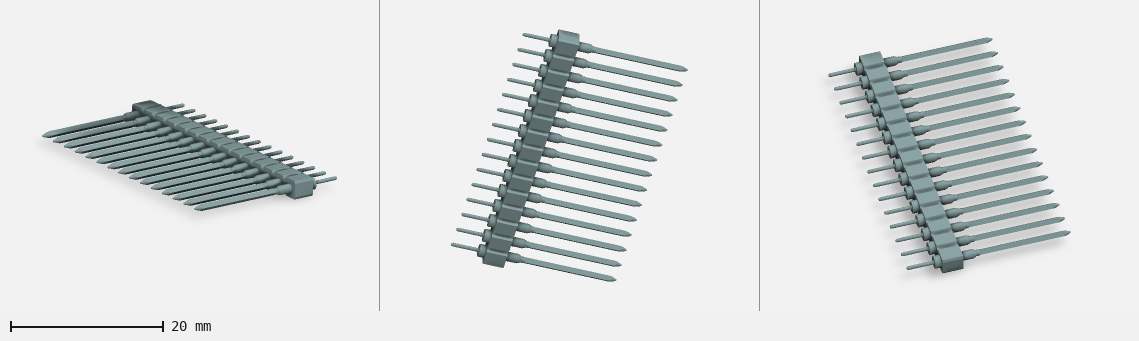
import cadquery as cq
import math

PIN_COUNT = 15
STRIP_LENGTH = 38.1
STRIP_HEIGHT = 2.55
PITCH = STRIP_LENGTH / PIN_COUNT
OVERALL_DEPTH = 22.35

HOUSING_DEPTH = 2.82
EDGE_DROP = 0.35
EDGE_RUN = 0.2
NOTCH_FLOOR = 0.4

COLLAR_LENGTH = 0.85
COLLAR_CONE_LENGTH = 0.25
TAIL_REACH = 4.55
TAIL_CHAMFER_LENGTH = 0.23

BARREL_LENGTH = 1.65
BARREL_TAPER_LENGTH = 0.35
NECK_LENGTH = 0.55
TIP_LENGTH = 1.05

TAIL_END_DIAMETER = 0.35
TAIL_DIAMETER = 0.5
COLLAR_CONE_DIAMETER = 0.7
COLLAR_DIAMETER = 1.7
BARREL_DIAMETER = 1.25
BARREL_END_DIAMETER = 1.0
NECK_DIAMETER = 0.85
TIP_END_DIAMETER = 0.23

POST_SIDE = 0.7
PIN_TURN = 45

REAR_END = OVERALL_DEPTH / 2
FRONT_END = -OVERALL_DEPTH / 2
HOUSING_REAR = REAR_END - TAIL_REACH
HOUSING_FRONT = HOUSING_REAR - HOUSING_DEPTH
BARREL_FRONT = HOUSING_FRONT - BARREL_LENGTH
TAPER_FRONT = BARREL_FRONT - BARREL_TAPER_LENGTH
POST_REAR = TAPER_FRONT - NECK_LENGTH
POST_FRONT = FRONT_END + TIP_LENGTH
COLLAR_REAR = HOUSING_REAR + COLLAR_LENGTH


def revolve_about_y(profile):
    """Revolve a closed profile of (diameter, y) points about the Y axis."""
    points = [(-diameter / 2, y) for diameter, y in profile]
    return cq.Workplane("XY").polyline(points).close().revolve(360, (0, 0, 0), (0, 1, 0))


def housing_outline():
    """Strip section with sloped ends and a notch above and below between neighbouring pins."""
    top = STRIP_HEIGHT / 2
    floor = top - EDGE_DROP
    end = STRIP_LENGTH / 2
    upper = [(-end, floor), (-end + EDGE_RUN, top)]
    for gap in range(1, PIN_COUNT):
        centre = -end + gap * PITCH
        inner = NOTCH_FLOOR / 2
        outer = inner + EDGE_RUN
        upper += [
            (centre - outer, top),
            (centre - inner, floor),
            (centre + inner, floor),
            (centre + outer, top),
        ]
    upper += [(end - EDGE_RUN, top), (end, floor)]
    lower = [(x, -z) for x, z in reversed(upper)]
    return upper + lower


def housing():
    """Strip section extruded from the housing's rear face to its front face."""
    plane = cq.Workplane("XZ", origin=(0, HOUSING_REAR, 0))
    return plane.polyline(housing_outline()).close().extrude(HOUSING_DEPTH)


def turned_shank():
    """Round part of a pin: tail, collar, barrel and neck as one revolved profile."""
    profile = [
        (0, REAR_END),
        (TAIL_END_DIAMETER, REAR_END),
        (TAIL_DIAMETER, REAR_END - TAIL_CHAMFER_LENGTH),
        (TAIL_DIAMETER, COLLAR_REAR + COLLAR_CONE_LENGTH),
        (COLLAR_CONE_DIAMETER, COLLAR_REAR),
        (COLLAR_DIAMETER, COLLAR_REAR),
        (COLLAR_DIAMETER, HOUSING_REAR),
        (BARREL_DIAMETER, HOUSING_REAR),
        (BARREL_DIAMETER, BARREL_FRONT),
        (BARREL_END_DIAMETER, TAPER_FRONT),
        (NECK_DIAMETER, TAPER_FRONT),
        (NECK_DIAMETER, POST_REAR),
        (0, POST_REAR),
    ]
    return revolve_about_y(profile)


def pointed_post():
    """Square post ending in a blunt cone that trims its corners."""
    post = (
        cq.Workplane("XZ", origin=(0, POST_REAR, 0))
        .rect(POST_SIDE, POST_SIDE)
        .extrude(POST_REAR - FRONT_END)
    )
    diagonal = POST_SIDE * math.sqrt(2)
    envelope = [
        (0, POST_REAR),
        (diagonal, POST_REAR),
        (diagonal, POST_FRONT),
        (TIP_END_DIAMETER, FRONT_END),
        (0, FRONT_END),
    ]
    return post.intersect(revolve_about_y(envelope))


pin = turned_shank().union(pointed_post()).rotate((0, 0, 0), (0, 1, 0), PIN_TURN)
result = housing()
for index in range(PIN_COUNT):
    pin_x = (index - (PIN_COUNT - 1) / 2) * PITCH
    result = result.union(pin.translate((pin_x, 0, 0)))